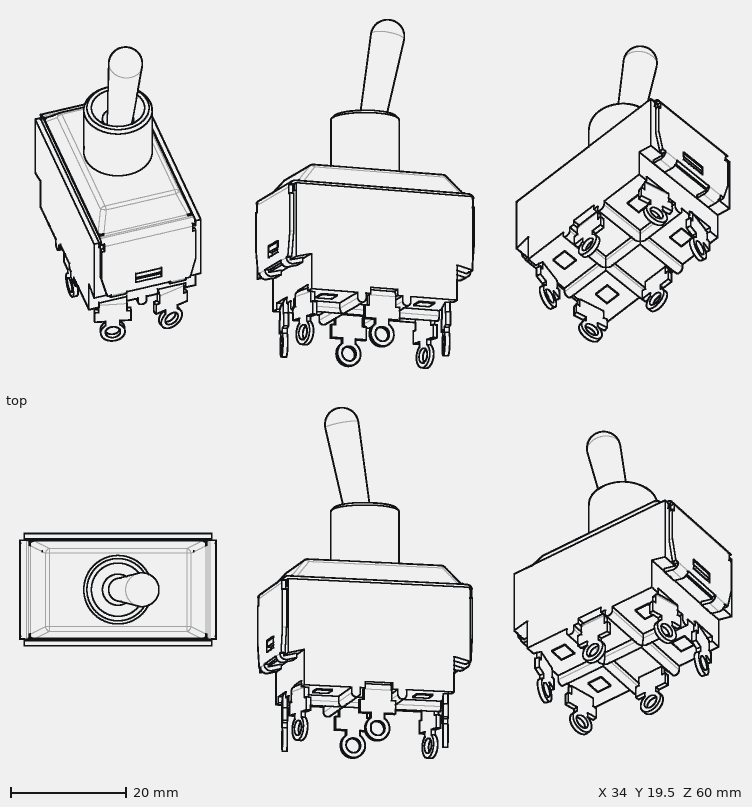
import cadquery as cq
import math

TOTAL_HEIGHT = 60.0
OVERALL_WIDTH = 34.0
OVERALL_DEPTH = 19.5

SHEET = 0.7
BRACKET_DEPTH = 17.15
BRACKET_TOP_Z = 28.25
BRACKET_BOTTOM_Z = 14.9
BRACKET_BEND = 1.1
TAPER_START_Z = 19.2
TAPER_END_DEPTH = 15.1
RELIEF_BOTTOM_Z = 25.9
RELIEF_DEPTH = 0.55
WINDOW_WIDTH = 4.7
WINDOW_BOTTOM_Z = 16.7
WINDOW_TOP_Z = 18.7
CATCH_BOTTOM_Z = 17.65
CATCH_TOP_Z = 18.6
CATCH_PROUD = 0.6
HOOK_WIDTH = 2.8
HOOK_Y = 5.4
HOOK_END_X = 14.0

BODY_WIDTH = OVERALL_WIDTH - 2 * SHEET
BODY_TOP_Z = BRACKET_TOP_Z - SHEET
BODY_BOTTOM_Z = 8.95
FOOT_WIDTH = 26.9
LEDGE_OUTER_Z = 14.45
LEDGE_INNER_Z = 15.2
GROOVE_WIDTH = 0.25
GROOVE_DEPTH = 1.15
RIB_WIDTH = 1.55
RIB_BOTTOM_Z = 7.25
RIB_X = 4.15
PAD_SIZE = 2.8
PAD_HEIGHT = 0.2
PAD_X = 9.0

CAP_TOP_Z = 31.8
CAP_BASE_WIDTH = 30.7
CAP_BASE_DEPTH = 16.9
CAP_TOP_WIDTH = 24.7
CAP_TOP_DEPTH = 13.9
CAP_ROUND = 0.9
CAP_FOOT_ROUND = 0.5

BUSHING_DIAMETER = 11.9
BUSHING_TOP_Z = 42.5
BUSHING_CHAMFER = 0.55
MOUTH_DIAMETER = 9.25
BORE_DIAMETER = 5.4
BORE_TOP_Z = 39.85

PIVOT_Z = 34.8
LEVER_TILT = 10.6
LEVER_ROOT_RADIUS = 1.9
LEVER_TIP_RADIUS = 2.95

LUG_THICKNESS = 0.85
LUG_TOP_Z = 10.0
LUG_BODY_WIDTH = 4.9
LUG_SHOULDER_WIDTH = 6.35
LUG_SHOULDER_TOP_Z = 7.1
LUG_SHOULDER_BOTTOM_Z = 4.8
LUG_NECK_WIDTH = 2.4
LUG_EYE_DIAMETER = 4.25
LUG_HOLE_DIAMETER = 2.6
LUG_BEND = LUG_TOP_Z - BODY_BOTTOM_Z
LUG_TAIL = 1.8
MIDDLE_LUG_Y = 8.4
END_LUG_X = 13.0
END_LUG_Y = 5.3
END_LUG_TURN = 13.0


def block(width, depth, bottom, top, x=0.0, y=0.0):
    """Box centred on (x, y) that spans bottom..top in Z."""
    return cq.Workplane("XY", origin=(x, y, bottom)).rect(width, depth).extrude(top - bottom)


def both_ends(shape):
    """The shape together with its mirror image at the opposite X end."""
    return shape.union(shape.mirror("YZ"))


def make_body():
    half, foot = BODY_WIDTH / 2, FOOT_WIDTH / 2
    body = (
        cq.Workplane("XZ")
        .polyline([
            (-half, BODY_TOP_Z), (half, BODY_TOP_Z),
            (half, LEDGE_OUTER_Z), (foot, LEDGE_INNER_Z), (foot, BODY_BOTTOM_Z),
            (-foot, BODY_BOTTOM_Z), (-foot, LEDGE_INNER_Z), (-half, LEDGE_OUTER_Z),
        ])
        .close()
        .extrude(OVERALL_DEPTH / 2, both=True)
    )
    groove_y = (BRACKET_DEPTH + GROOVE_WIDTH) / 2
    for side in (-1, 1):
        body = body.cut(
            block(BODY_WIDTH, GROOVE_WIDTH, BODY_TOP_Z - GROOVE_DEPTH, BODY_TOP_Z, y=side * groove_y)
        )
    return body


def make_rib(plane, length):
    """Round-bottomed rib under the body, running both ways from the given plane."""
    half = RIB_WIDTH / 2
    return (
        cq.Workplane(plane)
        .moveTo(-half, BODY_BOTTOM_Z)
        .lineTo(-half, RIB_BOTTOM_Z + half)
        .threePointArc((0, RIB_BOTTOM_Z), (half, RIB_BOTTOM_Z + half))
        .lineTo(half, BODY_BOTTOM_Z)
        .close()
        .extrude(length / 2, both=True)
    )


def make_ribs():
    ribs = make_rib("YZ", FOOT_WIDTH)
    for side in (-1, 1):
        ribs = ribs.union(make_rib("XZ", OVERALL_DEPTH).translate((side * RIB_X, 0, 0)))
    return ribs


def make_pads():
    """Low square pads under the body, one inward of each end lug."""
    pads = cq.Workplane("XY")
    for x in (-PAD_X, PAD_X):
        for y in (-END_LUG_Y, END_LUG_Y):
            pads = pads.union(block(PAD_SIZE, PAD_SIZE, BODY_BOTTOM_Z - PAD_HEIGHT, BODY_BOTTOM_Z, x, y))
    return pads


def make_bracket():
    """Sheet over the body top, folded down both ends."""
    shell = (
        block(OVERALL_WIDTH, BRACKET_DEPTH, BRACKET_BOTTOM_Z, BRACKET_TOP_Z)
        .edges("|Y and >Z").fillet(BRACKET_BEND)
        .cut(block(BODY_WIDTH, BRACKET_DEPTH, BRACKET_BOTTOM_Z, BODY_TOP_Z))
    )
    half, tip = BRACKET_DEPTH / 2, TAPER_END_DEPTH / 2
    narrow = half - RELIEF_DEPTH
    right_edge = [
        (half, BRACKET_TOP_Z), (half, BODY_TOP_Z), (narrow, BODY_TOP_Z), (narrow, RELIEF_BOTTOM_Z),
        (half, RELIEF_BOTTOM_Z), (half, TAPER_START_Z), (tip, BRACKET_BOTTOM_Z),
    ]
    left_edge = [(-y, z) for y, z in reversed(right_edge)]
    outline = (
        cq.Workplane("YZ")
        .polyline(right_edge + left_edge)
        .close()
        .extrude(OVERALL_WIDTH / 2, both=True)
    )
    window = block(OVERALL_WIDTH, WINDOW_WIDTH, WINDOW_BOTTOM_Z, WINDOW_TOP_Z)
    return shell.intersect(outline).cut(window)


def make_catch():
    """Snap catch in the upper part of the window at the +X end."""
    face = BODY_WIDTH / 2
    return block(CATCH_PROUD, WINDOW_WIDTH, CATCH_BOTTOM_Z, CATCH_TOP_Z, x=face + CATCH_PROUD / 2)


def make_hooks():
    """Two tabs curled under the sloping ledge at the +X end."""
    face = BODY_WIDTH / 2
    slope = math.atan2(LEDGE_INNER_Z - LEDGE_OUTER_Z, (BODY_WIDTH - FOOT_WIDTH) / 2)
    end_z = LEDGE_OUTER_Z + (face - HOOK_END_X) * math.tan(slope)

    def on_bend(angle):
        center_x = face + SHEET - BRACKET_BEND
        return (center_x + BRACKET_BEND * math.sin(angle), BRACKET_BOTTOM_Z - BRACKET_BEND * math.cos(angle))

    bend_end_x, bend_end_z = on_bend(-slope)
    end_underside_z = bend_end_z + (bend_end_x - HOOK_END_X) * math.tan(slope)

    hook = (
        cq.Workplane("XZ")
        .moveTo(face, BRACKET_BOTTOM_Z)
        .lineTo(face + SHEET, BRACKET_BOTTOM_Z)
        .threePointArc(on_bend(math.pi / 4), (bend_end_x, bend_end_z))
        .lineTo(HOOK_END_X, end_underside_z)
        .lineTo(HOOK_END_X, end_z)
        .lineTo(face, LEDGE_OUTER_Z)
        .close()
        .extrude(HOOK_WIDTH / 2, both=True)
    )
    return hook.translate((0, HOOK_Y, 0)).union(hook.translate((0, -HOOK_Y, 0)))


def make_cap():
    return (
        cq.Workplane("XY", origin=(0, 0, BRACKET_TOP_Z))
        .rect(CAP_BASE_WIDTH, CAP_BASE_DEPTH)
        .workplane(offset=CAP_TOP_Z - BRACKET_TOP_Z)
        .rect(CAP_TOP_WIDTH, CAP_TOP_DEPTH)
        .loft(ruled=True)
        .edges("not <Z").fillet(CAP_ROUND)
    )


def make_cap_foot():
    """Concave fillet between the bracket top and the sloping cap face at the +X end."""
    corner = CAP_BASE_WIDTH / 2
    slope = math.atan2(CAP_TOP_Z - BRACKET_TOP_Z, (CAP_BASE_WIDTH - CAP_TOP_WIDTH) / 2)
    reach = CAP_FOOT_ROUND * math.tan(slope / 2)
    outer_x, center_z = corner + reach, BRACKET_TOP_Z + CAP_FOOT_ROUND

    def on_round(angle):
        return (outer_x - CAP_FOOT_ROUND * math.sin(angle), center_z - CAP_FOOT_ROUND * math.cos(angle))

    return (
        cq.Workplane("XZ")
        .moveTo(corner, BRACKET_TOP_Z)
        .lineTo(outer_x, BRACKET_TOP_Z)
        .threePointArc(on_round(slope / 2), on_round(slope))
        .close()
        .extrude(CAP_BASE_DEPTH / 2, both=True)
    )


def make_bushing():
    return (
        cq.Workplane("XY", origin=(0, 0, BRACKET_TOP_Z))
        .circle(BUSHING_DIAMETER / 2)
        .extrude(BUSHING_TOP_Z - BRACKET_TOP_Z)
        .faces(">Z").edges().chamfer(BUSHING_CHAMFER)
    )


def make_bore():
    """Straight bore down to the pivot, opening into a conical mouth."""
    bore, mouth = BORE_DIAMETER / 2, MOUTH_DIAMETER / 2
    return (
        cq.Workplane("XZ")
        .polyline([
            (0, PIVOT_Z), (bore, PIVOT_Z), (bore, BORE_TOP_Z), (mouth, BUSHING_TOP_Z), (0, BUSHING_TOP_Z),
        ])
        .close()
        .revolve(360, (0, 0, 0), (0, 1, 0))
    )


def make_lever():
    """Tapered round-ended stick on a pivot ball, leaning toward +X."""
    length = (TOTAL_HEIGHT - LEVER_TIP_RADIUS - PIVOT_Z) / math.cos(math.radians(LEVER_TILT))
    diagonal = LEVER_TIP_RADIUS * math.sqrt(0.5)
    stick = (
        cq.Workplane("XZ")
        .moveTo(0, 0)
        .lineTo(LEVER_ROOT_RADIUS, 0)
        .lineTo(LEVER_TIP_RADIUS, length)
        .threePointArc((diagonal, length + diagonal), (0, length + LEVER_TIP_RADIUS))
        .close()
        .revolve(360, (0, 0, 0), (0, 1, 0))
        .rotate((0, 0, 0), (0, 1, 0), LEVER_TILT)
    )
    ball = cq.Workplane("XY").sphere(BORE_DIAMETER / 2)
    return stick.union(ball).translate((0, 0, PIVOT_Z))


def make_lug():
    """Lug facing +X, centred on the Z axis, with its top bent back toward -X."""
    eye_z = LUG_EYE_DIAMETER / 2
    half = LUG_THICKNESS / 2
    shoulder = block(LUG_THICKNESS, LUG_SHOULDER_WIDTH, LUG_SHOULDER_BOTTOM_Z, LUG_SHOULDER_TOP_Z)
    neck = block(LUG_THICKNESS, LUG_NECK_WIDTH, eye_z, LUG_SHOULDER_BOTTOM_Z)
    back_face = cq.Workplane("YZ", origin=(-half, 0, eye_z))
    eye = back_face.circle(LUG_EYE_DIAMETER / 2).extrude(LUG_THICKNESS)
    hole = back_face.circle(LUG_HOLE_DIAMETER / 2).extrude(LUG_THICKNESS)
    diagonal = LUG_BEND * math.sqrt(0.5)
    shank = (
        cq.Workplane("XZ")
        .moveTo(half, LUG_SHOULDER_TOP_Z)
        .lineTo(half, BODY_BOTTOM_Z)
        .threePointArc((half - LUG_BEND + diagonal, BODY_BOTTOM_Z + diagonal), (half - LUG_BEND, LUG_TOP_Z))
        .lineTo(-half - LUG_TAIL, LUG_TOP_Z)
        .lineTo(-half - LUG_TAIL, BODY_BOTTOM_Z)
        .lineTo(-half, BODY_BOTTOM_Z)
        .lineTo(-half, LUG_SHOULDER_TOP_Z)
        .close()
        .extrude(LUG_BODY_WIDTH / 2, both=True)
    )
    return shank.union(shoulder).union(neck).union(eye).cut(hole)


def make_lug_notch():
    """Opening in the body wall in front of a lug that faces +X."""
    start = LUG_THICKNESS / 2 - LUG_BEND
    end = LUG_THICKNESS / 2 + OVERALL_DEPTH / 2 - MIDDLE_LUG_Y
    return block(end - start, LUG_BODY_WIDTH, BODY_BOTTOM_Z, LUG_TOP_Z, x=(start + end) / 2)


def at_lug_places(shape):
    """Copies of the shape at the six lug places: one per long side, two per end."""
    places = [(0, -MIDDLE_LUG_Y, -90), (0, MIDDLE_LUG_Y, 90)]
    for side in (-1, 1):
        turn = side * END_LUG_TURN
        places.append((END_LUG_X, side * END_LUG_Y, turn))
        places.append((-END_LUG_X, side * END_LUG_Y, 180 - turn))
    for x, y, turn in places:
        yield shape.rotate((0, 0, 0), (0, 0, 1), turn).translate((x, y, 0))


result = make_body()
for notch in at_lug_places(make_lug_notch()):
    result = result.cut(notch)
result = result.union(make_ribs()).union(make_pads()).union(make_bracket())
result = result.union(both_ends(make_catch())).union(both_ends(make_hooks()))
result = result.union(make_cap()).union(both_ends(make_cap_foot()))
result = result.union(make_bushing()).cut(make_bore()).union(make_lever())
for lug in at_lug_places(make_lug()):
    result = result.union(lug)